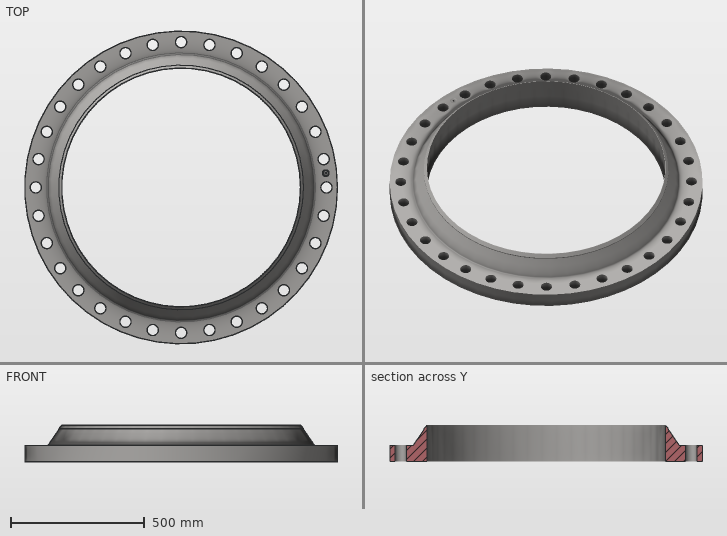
import cadquery as cq

flange_diameter = 1168.0
flange_thickness = 61.0

total_height = 137.0
bore_diameter = 890.0
hub_base_diameter = 996.0
neck_diameter = 913.0
bevel_height = 12.0
neck_band_height = 4.0
weld_land = 1.0
hub_root_fillet = 7.0

bolt_circle_diameter = 1085.0
bolt_hole_count = 32
bolt_hole_diameter = 41.0
recess_diameter = 26.0
recess_floor_diameter = 19.0
recess_depth = 1.0
pilot_hole_diameter = 7.0
pilot_hole_depth = flange_thickness / 2

flange_radius = flange_diameter / 2
bore_radius = bore_diameter / 2
hub_base_radius = hub_base_diameter / 2
neck_radius = neck_diameter / 2
bevel_start = total_height - bevel_height
bolt_pitch_angle = 360 / bolt_hole_count


def flange_body():
    """Plate, tapered hub and bevelled weld end, revolved about Z."""
    profile = (
        cq.Workplane("XZ")
        .moveTo(bore_radius, 0)
        .lineTo(flange_radius, 0)
        .lineTo(flange_radius, flange_thickness)
        .lineTo(hub_base_radius, flange_thickness)
        .lineTo(neck_radius, bevel_start - neck_band_height)
        .lineTo(neck_radius, bevel_start)
        .lineTo(bore_radius + weld_land, total_height)
        .lineTo(bore_radius, total_height)
        .close()
    )
    body = profile.revolve(360, (0, 0, 0), (0, 1, 0))
    hub_root = cq.selectors.RadiusNthSelector(-2)
    return body.edges(hub_root).fillet(hub_root_fillet)


def bolt_holes():
    """Through holes evenly spaced on the bolt circle, the first on +X."""
    return (
        cq.Workplane("XY")
        .polarArray(bolt_circle_diameter / 2, 0, 360, bolt_hole_count)
        .circle(bolt_hole_diameter / 2)
        .extrude(flange_thickness)
    )


def recess_and_pilot_hole():
    """Tapered recess and blind pilot hole on the bolt circle, half a pitch from +X."""
    recess_floor = flange_thickness - recess_depth
    pilot_floor = flange_thickness - pilot_hole_depth
    half_section = (
        cq.Workplane("XZ")
        .moveTo(0, pilot_floor)
        .lineTo(pilot_hole_diameter / 2, pilot_floor)
        .lineTo(pilot_hole_diameter / 2, recess_floor)
        .lineTo(recess_floor_diameter / 2, recess_floor)
        .lineTo(recess_diameter / 2, flange_thickness)
        .lineTo(0, flange_thickness)
        .close()
    )
    cutter = half_section.revolve(360, (0, 0, 0), (0, 1, 0))
    on_bolt_circle = cutter.translate((bolt_circle_diameter / 2, 0, 0))
    return on_bolt_circle.rotate((0, 0, 0), (0, 0, 1), bolt_pitch_angle / 2)


result = flange_body().cut(bolt_holes()).cut(recess_and_pilot_hole())